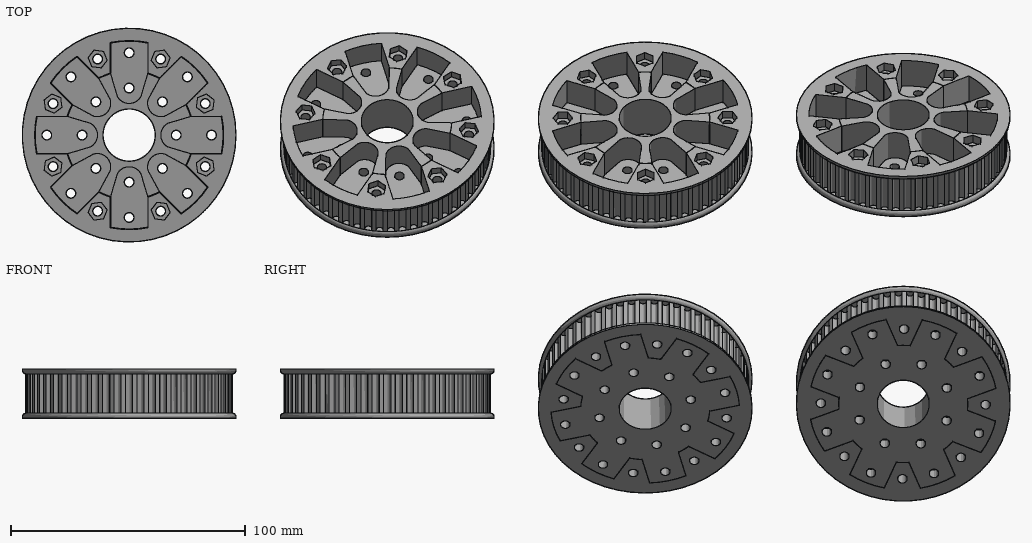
import cadquery as cq
import math

flange_radius = 45.5
height = 21.0
flange_thickness = 2.2
flange_fillet = 1.55

tooth_count = 56
tooth_spacing = 360 / tooth_count
tooth_tip_radius = 44.0
groove_depth = 2.1
groove_width = 3.0

hub_radius = 27.4
bore_diameter = 22.1
clearance = 0.1

arm_count = 8
arm_spacing = 360 / arm_count
arm_half_width = 7.9
arm_reach = 40.0
arm_height = 7.9

pocket_tip_distance = 13.5
pocket_tip_start = 16.4
pocket_tip_half_width = 5.0

hole_diameter = 4.0
inner_hole_radius = 20.0
outer_hole_radius = 35.0
nut_corner_diameter = 8.2
nut_depth = 3.8


def cylinder(radius, length):
    return cq.Workplane("XY").circle(radius).extrude(length)


def on_every_arm(shape, offset_angle=0.0):
    """Copies of a shape built along +X, one per arm, turned about the Z axis."""
    return [
        shape.rotate((0, 0, 0), (0, 0, 1), offset_angle + i * arm_spacing)
        for i in range(arm_count)
    ]


def cut_all(body, cutters):
    for cutter in cutters:
        body = body.cut(cutter)
    return body


def arm_block(half_width, reach, length):
    """Straight bar from the axis along +X, with its end rounded about the axis."""
    bar = cq.Workplane("XY").box(reach, 2 * half_width, length, centered=(False, True, False))
    return bar.intersect(cylinder(reach, length))


def screw_hole(distance):
    return cq.Workplane("XY").center(distance, 0).circle(hole_diameter / 2).extrude(height)


def pocket():
    """Pocket above one arm: straight outside the hub, narrowing to a round tip inside it."""
    corner_x = math.sqrt(hub_radius**2 - arm_half_width**2)
    end_x = math.sqrt(arm_reach**2 - arm_half_width**2)

    return (
        cq.Workplane("XY", origin=(0, 0, arm_height))
        .moveTo(pocket_tip_start, pocket_tip_half_width)
        .lineTo(corner_x, arm_half_width)
        .lineTo(end_x, arm_half_width)
        .threePointArc((arm_reach, 0), (end_x, -arm_half_width))
        .lineTo(corner_x, -arm_half_width)
        .lineTo(pocket_tip_start, -pocket_tip_half_width)
        .threePointArc((pocket_tip_distance, 0), (pocket_tip_start, pocket_tip_half_width))
        .close()
        .extrude(height - arm_height)
    )


def belt_groove():
    """Round-bottomed belt groove on the +X side, between the flanges."""
    groove_radius = groove_width / 2
    bottom_x = tooth_tip_radius - groove_depth
    center_x = bottom_x + groove_radius
    return (
        cq.Workplane("XY", origin=(0, 0, flange_thickness))
        .moveTo(flange_radius, groove_radius)
        .lineTo(center_x, groove_radius)
        .threePointArc((bottom_x, 0), (center_x, -groove_radius))
        .lineTo(flange_radius, -groove_radius)
        .close()
        .extrude(height - 2 * flange_thickness)
    )


def pulley_blank():
    """Toothed rim between two flanges whose inner edges are rounded."""
    flange = cylinder(flange_radius, flange_thickness).edges(">Z").fillet(flange_fillet)
    top_flange = flange.mirror("XY").translate((0, 0, height))
    blank = cylinder(tooth_tip_radius, height).union(flange).union(top_flange)
    groove = belt_groove().val()
    grooves = [
        groove.rotate(cq.Vector(0, 0, 0), cq.Vector(0, 0, 1), i * tooth_spacing)
        for i in range(tooth_count)
    ]
    return cq.Workplane(blank.val().cut(*grooves))


def nut_hole():
    """Screw hole with a hexagonal recess at the top, one corner pointing outward."""
    recess = (
        cq.Workplane("XY", origin=(outer_hole_radius, 0, height - nut_depth))
        .polygon(6, nut_corner_diameter)
        .extrude(nut_depth)
    )
    return screw_hole(outer_hole_radius).union(recess)


def build_pulley():
    body = pulley_blank().cut(cylinder(hub_radius + clearance, height))
    slot = arm_block(arm_half_width + clearance, arm_reach + clearance, height)
    body = cut_all(body, on_every_arm(slot))
    return cut_all(body, on_every_arm(nut_hole(), arm_spacing / 2))


def build_hub():
    body = cylinder(hub_radius, height)
    for arm in on_every_arm(arm_block(arm_half_width, arm_reach, arm_height)):
        body = body.union(arm)
    body = cut_all(body, on_every_arm(pocket()))
    for distance in (inner_hole_radius, outer_hole_radius):
        body = cut_all(body, on_every_arm(screw_hole(distance)))
    return body.cut(cylinder(bore_diameter / 2, height))


pulley = build_pulley()
hub = build_hub()

result = cq.Compound.makeCompound([pulley.solids().val(), hub.solids().val()])